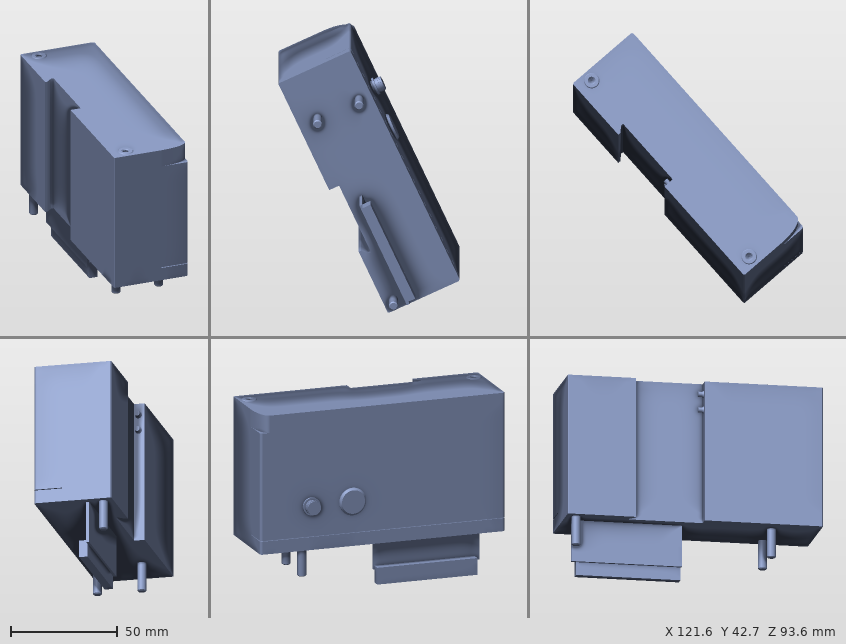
import cadquery as cq

LENGTH = 121.6
DEPTH = 37.2
SEAM_Z = 58.9
TOP_Z = 67.2

BACK_RADIUS = 1.2
FRONT_BEVEL = 0.5

SLOT_DEPTH = 5.1
SLOT_MOUTH_LEFT = 32.5
SLOT_FLOOR_LEFT = 30.0
SLOT_RIGHT = 65.2
SLOT_LIP = 1.2
SLOT_FLANK_TOP = 3.9

PANEL_FRONT_Y = 23.7
PANEL_BOTTOM_Z = 6.7
PANEL_GAP = 0.4

ROUNDED_X = 4.7
ROUNDED_Y = DEPTH - PANEL_FRONT_Y

FITTING_Z = 21.6
DOME_X = 75.8
DOME_RADIUS = 6.7
DOME_HEIGHT = 1.2
DOME_BEVEL = 1.0
CONNECTOR_X = 96.7
CONNECTOR_RINGS = [
    (3.2, 1.0),
    (4.3, 1.0),
    (3.3, 1.0),
    (3.5, 0.6),
    (3.3, 0.4),
    (3.5, 0.6),
    (3.3, 0.9),
]

BUTTON_Y = 3.0
BUTTON_RADIUS = 1.2
BUTTON_LENGTH = 2.7
COLLAR_RADIUS = 1.7
COLLAR_LENGTH = 0.7
COVER_BUTTON_Z = 61.8
HOUSING_BUTTON_Z = 54.2

SCREW_XS = (4.9, 116.5)
SCREW_Y = 7.7
SCREW_RADIUS = 3.6
SCREW_PROUD = 0.4
SCREW_SEAT = 3.0
SCREW_BEVEL = 0.4
SOCKET_RADIUS = 1.3
SOCKET_BEVEL = 0.5
SOCKET_DEPTH = 1.8
SOCKET_CONE = 0.7

PEG_CENTERS = [(4.9, 5.0), (98.9, 9.7), (98.9, 31.1)]
PEG_DIAMETER = 4.3
PEG_LENGTH = 13.9
PEG_BEVEL = 0.5

BOARD_LEFT = 3.9
BOARD_RIGHT = 56.5
BOARD_FRONT_Y = 11.5
BOARD_BACK_Y = 13.0
BOARD_BOTTOM_Z = -19.8
STRIP_LEFT = 6.5
STRIP_RIGHT = 56.2
STRIP_BACK_Y = 17.0
STRIP_TOP_Z = -17.9
STRIP_BOTTOM_Z = -26.0


def span_box(x_range, y_range, z_range):
    """Box between the given limits on each axis."""
    (x0, x1), (y0, y1), (z0, z1) = x_range, y_range, z_range
    return cq.Workplane("XY").box(x1 - x0, y1 - y0, z1 - z0, centered=False).translate((x0, y0, z0))


def block(bottom_z, top_z):
    """Slice of the outer block: finished corners and the dovetail slot."""
    return (
        cq.Workplane("XY", origin=(0, 0, bottom_z))
        .moveTo(FRONT_BEVEL, 0)
        .lineTo(SLOT_MOUTH_LEFT, 0)
        .lineTo(SLOT_MOUTH_LEFT, SLOT_LIP)
        .lineTo(SLOT_FLOOR_LEFT, SLOT_FLANK_TOP)
        .lineTo(SLOT_FLOOR_LEFT, SLOT_DEPTH)
        .lineTo(SLOT_RIGHT, SLOT_DEPTH)
        .lineTo(SLOT_RIGHT, 0)
        .lineTo(LENGTH - FRONT_BEVEL, 0)
        .lineTo(LENGTH, FRONT_BEVEL)
        .lineTo(LENGTH, DEPTH - BACK_RADIUS)
        .radiusArc((LENGTH - BACK_RADIUS, DEPTH), -BACK_RADIUS)
        .lineTo(BACK_RADIUS, DEPTH)
        .radiusArc((0, DEPTH - BACK_RADIUS), -BACK_RADIUS)
        .lineTo(0, FRONT_BEVEL)
        .close()
        .extrude(top_z - bottom_z)
    )


def button(z):
    """Round button with a tapered collar, pointing in -X from the slot wall."""
    wall = cq.Workplane("YZ", origin=(SLOT_RIGHT, BUTTON_Y, z))
    collar = wall.circle(COLLAR_RADIUS).workplane(offset=-COLLAR_LENGTH).circle(BUTTON_RADIUS).loft(ruled=True)
    return wall.circle(BUTTON_RADIUS).extrude(-BUTTON_LENGTH).union(collar)


def back_disc(x, standoff, radius, length):
    """Disc on the back panel, starting at the given distance from its face."""
    plane = cq.Plane(origin=(x, DEPTH + standoff, FITTING_Z), xDir=(1, 0, 0), normal=(0, 1, 0))
    return cq.Workplane(plane).circle(radius).extrude(length)


def connector():
    """Stepped round connector built up from coaxial rings."""
    standoff = 0
    body = cq.Workplane("XY")
    for radius, length in CONNECTOR_RINGS:
        body = body.add(back_disc(CONNECTOR_X, standoff, radius, length))
        standoff += length
    return body.combine()


def pegs():
    """Round pegs with bevelled tips."""
    return (
        cq.Workplane("XY")
        .pushPoints(PEG_CENTERS)
        .circle(PEG_DIAMETER / 2)
        .extrude(-PEG_LENGTH)
        .faces("<Z")
        .chamfer(PEG_BEVEL)
    )


def board():
    """Flat board with a thicker strip behind its lower edge."""
    plate = span_box((BOARD_LEFT, BOARD_RIGHT), (BOARD_FRONT_Y, BOARD_BACK_Y), (BOARD_BOTTOM_Z, 0))
    strip = span_box((STRIP_LEFT, STRIP_RIGHT), (BOARD_BACK_Y, STRIP_BACK_Y), (STRIP_BOTTOM_Z, STRIP_TOP_Z))
    return plate.union(strip)


def panel_space(bottom_z):
    """Region behind the panel's front face, from the given height up to the cover."""
    return span_box((0, LENGTH), (PANEL_FRONT_Y, DEPTH), (bottom_z, SEAM_Z))


def make_housing():
    recess = panel_space(PANEL_BOTTOM_Z - PANEL_GAP)
    return block(0, SEAM_Z).cut(recess).union(button(HOUSING_BUTTON_Z)).union(pegs()).union(board())


def make_panel():
    dome = back_disc(DOME_X, 0, DOME_RADIUS, DOME_HEIGHT).faces(">Y").chamfer(DOME_BEVEL)
    panel = block(0, SEAM_Z).intersect(panel_space(PANEL_BOTTOM_Z))
    return panel.union(dome).union(connector())


def make_cover():
    corner = span_box((LENGTH - ROUNDED_X, LENGTH), (DEPTH - ROUNDED_Y, DEPTH), (SEAM_Z, TOP_Z))
    corner_ellipse = (
        cq.Workplane("XY", origin=(LENGTH - ROUNDED_X, DEPTH - ROUNDED_Y, SEAM_Z))
        .ellipse(ROUNDED_X, ROUNDED_Y)
        .extrude(TOP_Z - SEAM_Z)
    )
    seats = (
        cq.Workplane("XY", origin=(0, 0, TOP_Z))
        .pushPoints([(x, SCREW_Y) for x in SCREW_XS])
        .circle(SCREW_RADIUS)
        .extrude(-SCREW_SEAT)
    )
    return block(SEAM_Z, TOP_Z).cut(corner.cut(corner_ellipse)).cut(seats).union(button(COVER_BUTTON_Z))


def make_screw(x):
    """Screw head with a bevelled rim and a bevelled socket with a conical floor."""
    head_height = SCREW_SEAT + SCREW_PROUD
    socket_floor = head_height - SOCKET_DEPTH
    profile = [
        (0, 0),
        (SCREW_RADIUS, 0),
        (SCREW_RADIUS, head_height - SCREW_BEVEL),
        (SCREW_RADIUS - SCREW_BEVEL, head_height),
        (SOCKET_RADIUS + SOCKET_BEVEL, head_height),
        (SOCKET_RADIUS, head_height - SOCKET_BEVEL),
        (SOCKET_RADIUS, socket_floor + SOCKET_CONE),
        (0, socket_floor),
    ]
    head = cq.Workplane("XZ").polyline(profile).close().revolve(360, (0, 0, 0), (0, 1, 0))
    return head.translate((x, SCREW_Y, TOP_Z - SCREW_SEAT))


housing = make_housing()
panel = make_panel()
cover = make_cover()
screws = [make_screw(x).val() for x in SCREW_XS]

result = cq.Compound.makeCompound([housing.val(), panel.val(), cover.val(), *screws])